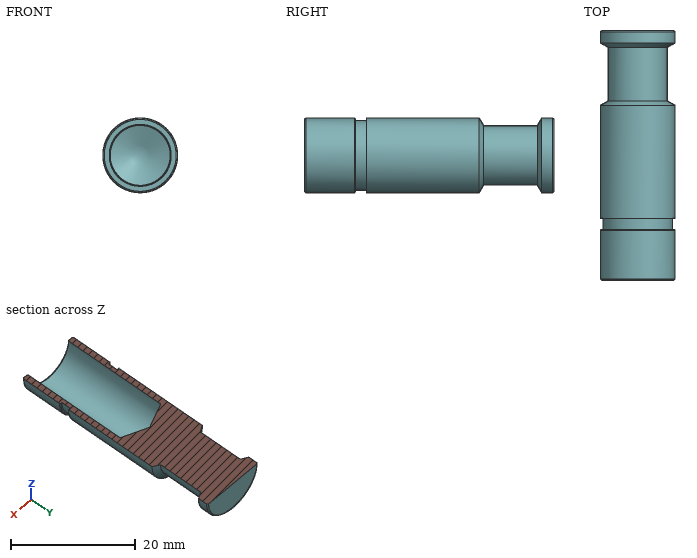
import cadquery as cq
import math

length = 40.0
body_radius = 6.0
end_chamfer = 0.25

neck_radius = 4.75
flange_width = 2.0
neck_section_width = 10.0
shoulder_angle = 30.0

groove_start = 8.15
groove_width = 1.75
groove_depth = 0.4
groove_chamfer = 0.15

bore_radius = 4.8
bore_depth = 20.0
bore_chamfer = 0.15
drill_point_angle = 135.0

shoulder_width = (body_radius - neck_radius) * math.tan(math.radians(shoulder_angle))
flange_start = length - flange_width
body_end = flange_start - neck_section_width
groove_end = groove_start + groove_width
groove_radius = body_radius - groove_depth
drill_point_depth = bore_radius / math.tan(math.radians(drill_point_angle / 2))


def revolve_profile(points):
    """Turn a closed (radius, y) outline about the Y axis."""
    return cq.Workplane("XY").polyline(points).close().revolve(360, (0, 0, 0), (0, 1, 0))


def make_body():
    return revolve_profile([
        (0, 0),
        (body_radius - end_chamfer, 0),
        (body_radius, end_chamfer),
        (body_radius, groove_start - groove_chamfer),
        (body_radius - groove_chamfer, groove_start),
        (groove_radius, groove_start),
        (groove_radius, groove_end),
        (body_radius, groove_end),
        (body_radius, body_end),
        (neck_radius, body_end + shoulder_width),
        (neck_radius, flange_start - shoulder_width),
        (body_radius, flange_start),
        (body_radius, length - end_chamfer),
        (body_radius - end_chamfer, length),
        (0, length),
    ])


def make_bore():
    return revolve_profile([
        (0, 0),
        (bore_radius + bore_chamfer, 0),
        (bore_radius, bore_chamfer),
        (bore_radius, bore_depth),
        (0, bore_depth + drill_point_depth),
    ])


result = make_body().cut(make_bore())